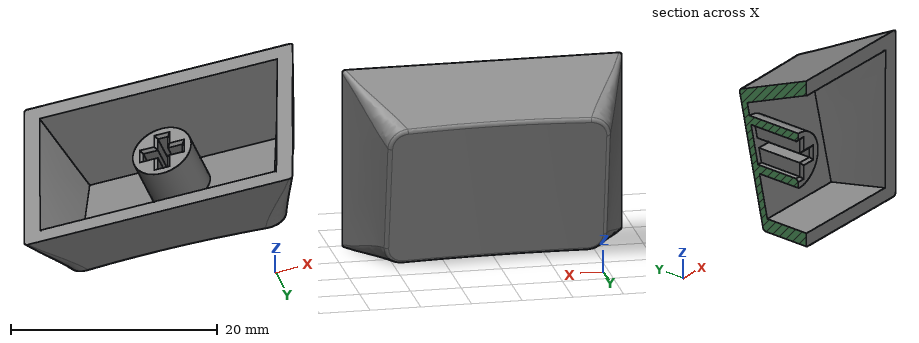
import cadquery as cq
import math

skirt_width = 27.6
skirt_height = 18.1
wall = 1.5

crown_width = 21.6
crown_tilt = math.radians(11.8)
crown_rise = 6.06
upper_wall_lean = math.radians(23.3)

corner_radius_skirt = 0.35
corner_radius_crown = 2.0
rim_radius = 0.4

dish_radius = 125.0
dish_depth = 0.7
dish_skew = math.radians(11.0)

stem_diameter = 6.0
stem_recess = 1.0
cross_length = 4.02
cross_thickness = 1.02
mouth_chamfer = 0.29

z_bottom = -skirt_height / 2

lean_slope = math.tan(upper_wall_lean)
crown_length = (skirt_height - crown_rise * lean_slope) / (
    math.cos(crown_tilt) + math.sin(crown_tilt) * lean_slope
)
crown_plane = cq.Plane(
    origin=(0, crown_rise, z_bottom),
    xDir=(-1, 0, 0),
    normal=(0, math.cos(crown_tilt), -math.sin(crown_tilt)),
)
skirt_plane = cq.Plane(origin=(0, 0, z_bottom), xDir=(-1, 0, 0), normal=(0, 1, 0))
stem_plane = cq.Plane(origin=(0, stem_recess, 0), xDir=(1, 0, 0), normal=(0, 1, 0))


def four_corners(plane, width, height):
    """Corners of a rectangle centred on x = 0, going round from its lower edge."""
    half = width / 2
    local = [(-half, 0), (half, 0), (half, height), (-half, height)]
    return [plane.toWorldCoords(point) for point in local]


skirt_corners = four_corners(skirt_plane, skirt_width, skirt_height)
crown_corners = four_corners(crown_plane, crown_width, crown_length)


def sharp_blank():
    sections = [cq.Wire.makePolygon(points, close=True) for points in (skirt_corners, crown_corners)]
    return cq.Workplane(cq.Solid.makeLoft(sections, True))


def round_corners(body):
    """Fillet the four corner edges, the radius growing from the skirt to the crown."""
    builder = cq.occ_impl.shapes.BRepFilletAPI_MakeFillet(body.val().wrapped)
    for skirt_corner, crown_corner in zip(skirt_corners, crown_corners):
        middle = (skirt_corner + crown_corner) / 2
        edge = body.edges(cq.selectors.NearestToPointSelector(middle.toTuple())).val()
        radii = [corner_radius_skirt, corner_radius_crown]
        if edge.startPoint().y > edge.endPoint().y:
            radii.reverse()
        builder.Add(*radii, edge.wrapped)
    return cq.Workplane(cq.Shape.cast(builder.Shape()))


def dish_cutter():
    reach = 2 * skirt_height
    height = dish_radius - dish_depth
    across = reach * math.sin(dish_skew)
    along = reach * math.cos(dish_skew)
    start = crown_plane.toWorldCoords((across, crown_length - along, height))
    end = crown_plane.toWorldCoords((-across, crown_length + along, height))
    return cq.Workplane(cq.Solid.makeCylinder(dish_radius, 2 * reach, start, end - start))


def dish_crown(body):
    dished = body.cut(dish_cutter())
    return dished.faces("%CYLINDER").edges().fillet(rim_radius)


def stem(cavity):
    post = cq.Workplane(stem_plane).circle(stem_diameter / 2).extrude(skirt_height)
    return post.intersect(cavity)


def socket_slot(size_x, size_z):
    slot = cq.Workplane(stem_plane).rect(size_x, size_z).extrude(skirt_height)
    mouth = (
        cq.Workplane(stem_plane)
        .rect(size_x + 2 * mouth_chamfer, size_z + 2 * mouth_chamfer)
        .workplane(offset=mouth_chamfer)
        .rect(size_x, size_z)
        .loft(ruled=True)
    )
    return slot.union(mouth)


def socket(cavity):
    cross = socket_slot(cross_length, cross_thickness).union(socket_slot(cross_thickness, cross_length))
    return cross.intersect(cavity)


blank = sharp_blank()
cavity = blank.cut(blank.faces("<Y").shell(-wall))
outside = dish_crown(round_corners(blank))
result = outside.cut(cavity).union(stem(cavity)).cut(socket(cavity))